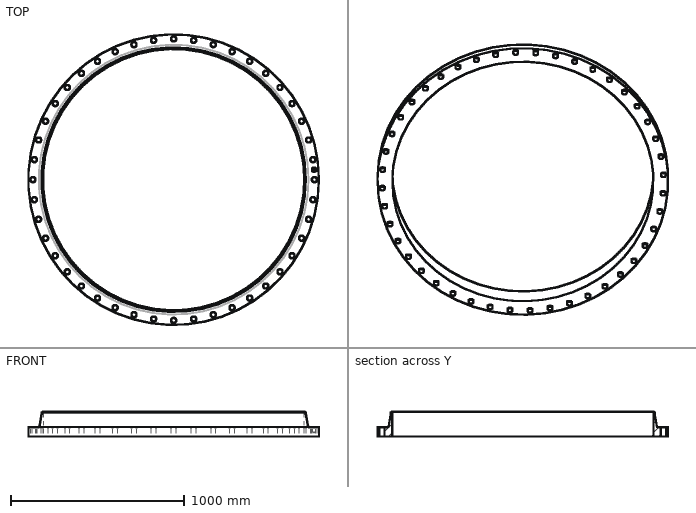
import cadquery as cq
import math

flange_diameter = 1676.0
flange_thickness = 55.0
bore_radius = 752.0

total_height = 144.0
hub_foot_radius = 776.0
hub_end_radius = 763.0
foot_fillet_radius = 5.0
end_cylinder_height = 12.0
bevel_drop = 5.0
end_face_radius = 755.0

bolt_count = 44
bolt_circle_radius = 811.0
bolt_hole_diameter = 28.0

blind_core_diameter = 17.0
blind_mouth_diameter = 25.0
countersink_angle = 90.0
blind_core_depth = 28.0
drill_tip_angle = 118.0

flange_radius = flange_diameter / 2
bolt_pitch_angle = 360 / bolt_count

taper_top = total_height - end_cylinder_height
taper_angle = math.atan2(taper_top - flange_thickness, hub_end_radius - hub_foot_radius)
tangent_length = foot_fillet_radius / math.tan(taper_angle / 2)
taper_start_radius = hub_foot_radius + tangent_length * math.cos(taper_angle)
taper_start_height = flange_thickness + tangent_length * math.sin(taper_angle)


def bolt_circle_point(angle):
    """Point on the bolt circle at an angle in degrees from +X."""
    turn = math.radians(angle)
    return bolt_circle_radius * math.cos(turn), bolt_circle_radius * math.sin(turn)


def cone_height(radius_change, full_angle):
    """Axial length over which a cone of this full angle changes radius by the given amount."""
    return radius_change / math.tan(math.radians(full_angle / 2))


def ring_body():
    """Flange and hub, turned as one profile about the Z axis."""
    profile = (
        cq.Workplane("XZ")
        .moveTo(bore_radius, 0)
        .lineTo(flange_radius, 0)
        .lineTo(flange_radius, flange_thickness)
        .lineTo(hub_foot_radius + tangent_length, flange_thickness)
        .tangentArcPoint((taper_start_radius, taper_start_height), relative=False)
        .lineTo(hub_end_radius, taper_top)
        .lineTo(hub_end_radius, total_height - bevel_drop)
        .lineTo(end_face_radius, total_height)
        .lineTo(bore_radius, total_height)
        .close()
    )
    return profile.revolve(360, (0, 0, 0), (0, 1, 0))


def bolt_holes():
    """Through-hole cutters, the first one on the +X axis."""
    centres = [bolt_circle_point(i * bolt_pitch_angle) for i in range(bolt_count)]
    return cq.Workplane("XY").pushPoints(centres).circle(bolt_hole_diameter / 2).extrude(flange_thickness)


def blind_hole():
    """Cutter sunk into the flange face, half a pitch past the +X axis."""
    core_radius = blind_core_diameter / 2
    mouth_radius = blind_mouth_diameter / 2
    core_bottom = flange_thickness - blind_core_depth
    countersink_depth = cone_height(mouth_radius - core_radius, countersink_angle)
    tip_depth = cone_height(core_radius, drill_tip_angle)
    profile = (
        cq.Workplane("XZ")
        .moveTo(0, flange_thickness)
        .lineTo(mouth_radius, flange_thickness)
        .lineTo(core_radius, flange_thickness - countersink_depth)
        .lineTo(core_radius, core_bottom)
        .lineTo(0, core_bottom - tip_depth)
        .close()
    )
    x, y = bolt_circle_point(bolt_pitch_angle / 2)
    return profile.revolve(360, (0, 0, 0), (0, 1, 0)).translate((x, y, 0))


result = ring_body().cut(bolt_holes()).cut(blind_hole())